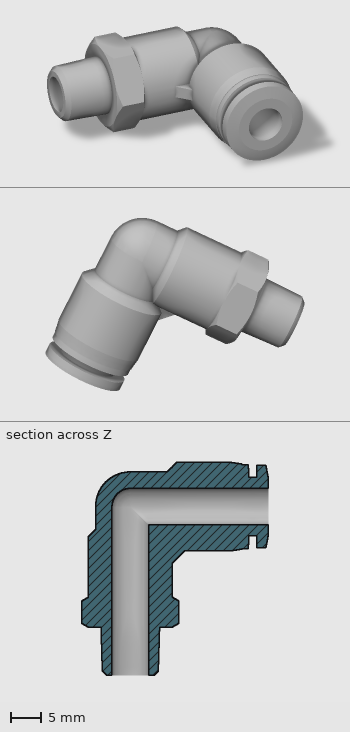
import cadquery as cq
import math

elbow_radius = 5.8
bore_radius = 3.0

body_start = 6.1
body_radius = 7.4
body_shoulder = body_start + (body_radius - elbow_radius)
taper_start = 16.5
taper_end = 18.5
taper_end_radius = 7.1
collar_radius = 7.0
collar_edge_start = 19.6
collar_end = 19.7
release_neck_radius = 4.9
release_ring_start = 20.9
release_ring_radius = 6.9
release_edge_start = 22.5
release_end = 22.9
release_end_radius = 4.8

sleeve_radius = 7.0
sleeve_chamfer_start = 3.75
sleeve_chamfer_end = 5.0
hex_length = 5.0
stub_end = 28.0
stub_length = 8.0
hex_end = stub_end - stub_length
hex_start = hex_end - hex_length
hex_across_flats = 14.0
hex_corner_radius = hex_across_flats / 2 / math.cos(math.radians(30))
hex_chamfer_angle = 30.0
stub_root_radius = 4.9
stub_tip_radius = 4.68
stub_chamfer_length = 0.75
stub_chamfer_radius = 3.95

web_thickness = 2.0
web_leg = 16.4


def revolve_about_x(profile):
    """Solid of revolution about X from (distance along X, radius) points."""
    return cq.Workplane("XY").polyline(profile).close().revolve(360, (0, 0, 0), (1, 0, 0))


def revolve_about_inlet(profile):
    """Solid of revolution about Y from (distance along -Y, radius) points."""
    points = [(radius, -distance) for distance, radius in profile]
    return cq.Workplane("XY").polyline(points).close().revolve(360, (0, 0, 0), (0, 1, 0))


def round_elbow(radius, inlet_length, outlet_length):
    """Two crossing cylinders with a ball at the outer corner."""
    inlet = cq.Workplane("XZ").circle(radius).extrude(inlet_length)
    outlet = cq.Workplane("YZ").circle(radius).extrude(outlet_length)
    return cq.Workplane("XY").sphere(radius).union(inlet).union(outlet)


def outlet_body():
    return revolve_about_x([
        (body_start, 0),
        (body_start, elbow_radius),
        (body_shoulder, body_radius),
        (taper_start, body_radius),
        (taper_end, taper_end_radius),
        (taper_end, collar_radius),
        (collar_edge_start, collar_radius),
        (collar_end, release_neck_radius),
        (release_ring_start, release_neck_radius),
        (release_ring_start, release_ring_radius),
        (release_edge_start, release_ring_radius),
        (release_end, release_end_radius),
        (release_end, 0),
    ])


def sleeve():
    return revolve_about_inlet([
        (sleeve_chamfer_start, 0),
        (sleeve_chamfer_start, elbow_radius),
        (sleeve_chamfer_end, sleeve_radius),
        (hex_start, sleeve_radius),
        (hex_start, 0),
    ])


def hexagon():
    """Hexagon with flats facing +Z and -Z and conical corner chamfers at both ends."""
    prism = (
        cq.Workplane("XZ", origin=(0, -hex_start, 0))
        .polygon(6, 2 * hex_corner_radius)
        .extrude(hex_length)
    )
    face_radius = hex_across_flats / 2
    half_length = hex_length / 2
    middle = hex_start + half_length
    cone_radius = face_radius + half_length / math.tan(math.radians(hex_chamfer_angle))
    envelope = revolve_about_inlet([
        (hex_start, 0),
        (hex_start, face_radius),
        (middle, cone_radius),
        (hex_end, face_radius),
        (hex_end, 0),
    ])
    return prism.intersect(envelope)


def threaded_stub():
    return revolve_about_inlet([
        (hex_end, 0),
        (hex_end, stub_root_radius),
        (stub_end - stub_chamfer_length, stub_tip_radius),
        (stub_end, stub_chamfer_radius),
        (stub_end, 0),
    ])


def corner_web():
    return (
        cq.Workplane("XY")
        .polyline([(0, 0), (web_leg, 0), (0, -web_leg)])
        .close()
        .extrude(web_thickness / 2, both=True)
    )


result = (
    round_elbow(elbow_radius, sleeve_chamfer_end, body_shoulder)
    .union(outlet_body())
    .union(sleeve())
    .union(hexagon())
    .union(threaded_stub())
    .union(corner_web())
    .cut(round_elbow(bore_radius, stub_end, release_end))
)